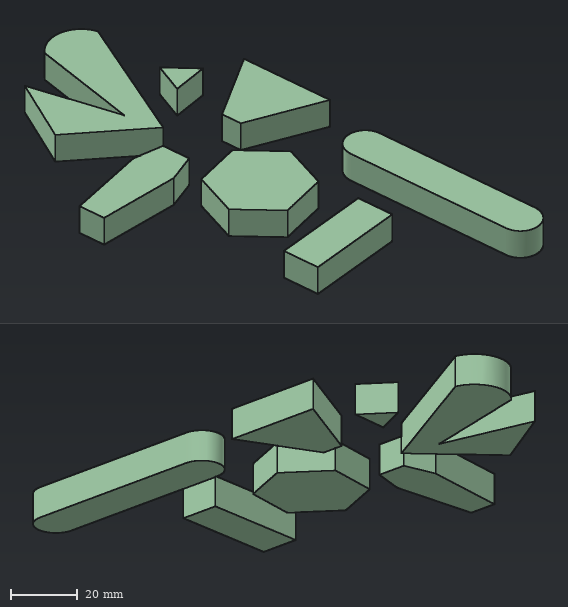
import cadquery as cq

thickness = 10.0
layout_length = 174.7
layout_depth = 90.1

bar_length = 74.0
bar_width = 13.8
bar_center_y = 79.5

block_width = 13.3
block_length = 35.3
block_center = (130.3, 38.8)

hexagon_corner_radius = 17.6
hexagon_center = (95.0, 44.7)
hexagon_turn = 37.5

wedge_center_x = 68.3
wedge_wide = 33.5
wedge_narrow = 7.3
wedge_height = 26.4

coffin_center_x = 66.4
coffin_front_width = 9.6
coffin_shoulder_width = 15.9
coffin_back_width = 10.1
coffin_shoulder_y = 29.2
coffin_length = 40.0

triangle_corners = [(34.8, 70.5), (45.2, 78.5), (46.0, 65.3)]

fork_round_back = (8.7, 73.2)
fork_round_middle = (0.3, 65.2)
fork_round_front = (3.5, 54.3)
fork_notch = (42.3, 44.7)
fork_short_arm_end = (9.5, 37.5)
fork_heel = (32.7, 23.8)
fork_tip = (55.4, 47.3)


def plate(corners):
    """Flat piece with straight sides through the given corners."""
    return cq.Workplane("XY").polyline(corners).close().extrude(thickness)


def symmetric_plate(center_x, stations):
    """Flat piece mirrored about X = center_x, given (y, width) stations from front to back."""
    right_side = [(center_x + width / 2, y) for y, width in stations]
    left_side = [(center_x - width / 2, y) for y, width in reversed(stations)]
    return plate(right_side + left_side)


def make_bar():
    center_x = layout_length - bar_length / 2
    return cq.Workplane("XY").center(center_x, bar_center_y).slot2D(bar_length, bar_width).extrude(thickness)


def make_block():
    return cq.Workplane("XY").center(*block_center).rect(block_width, block_length).extrude(thickness)


def make_hexagon():
    prism = cq.Workplane("XY").polygon(6, 2 * hexagon_corner_radius).extrude(thickness)
    return prism.rotate((0, 0, 0), (0, 0, 1), hexagon_turn).translate((*hexagon_center, 0))


def make_wedge():
    front_y = layout_depth - wedge_height
    return symmetric_plate(wedge_center_x, [(front_y, wedge_narrow), (layout_depth, wedge_wide)])


def make_coffin():
    stations = [
        (0, coffin_front_width),
        (coffin_shoulder_y, coffin_shoulder_width),
        (coffin_length, coffin_back_width),
    ]
    return symmetric_plate(coffin_center_x, stations)


def make_fork():
    return (
        cq.Workplane("XY")
        .moveTo(*fork_round_back)
        .threePointArc(fork_round_middle, fork_round_front)
        .lineTo(*fork_notch)
        .lineTo(*fork_short_arm_end)
        .lineTo(*fork_heel)
        .lineTo(*fork_tip)
        .close()
        .extrude(thickness)
    )


bar = make_bar()
block = make_block()
hexagon = make_hexagon()
wedge = make_wedge()
coffin = make_coffin()
triangle = plate(triangle_corners)
fork = make_fork()

result = cq.Compound.makeCompound(
    [body.val() for body in (bar, block, hexagon, wedge, coffin, triangle, fork)]
)